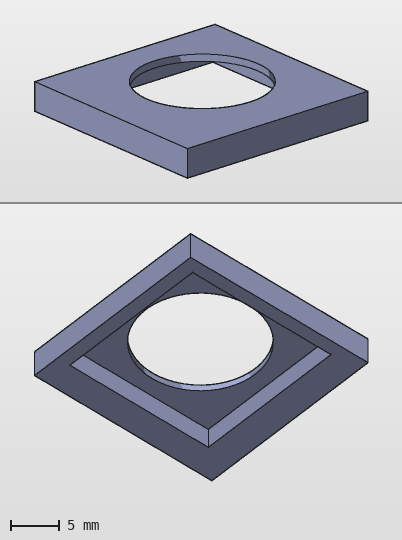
import cadquery as cq

plate_x = 24.25
plate_y = 24.4
plate_z = 3.3

hole_diameter = 15.0
hole_x = -1.0
hole_y = 1.0

pocket_side = 19.03
top_thickness = 0.8
pocket_depth = plate_z - top_thickness

plate = cq.Workplane("XY").box(plate_x, plate_y, plate_z)

bottom_plane = cq.Workplane("XY", origin=(hole_x, hole_y, -plate_z / 2))
hole = bottom_plane.circle(hole_diameter / 2).extrude(plate_z)
pocket = bottom_plane.rect(pocket_side, pocket_side).extrude(pocket_depth)

result = plate.cut(hole).cut(pocket)